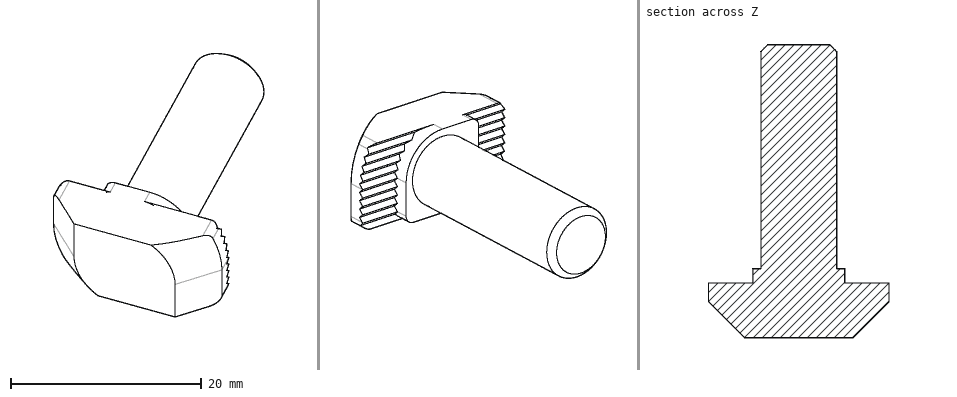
import cadquery as cq

total_length = 30.8
head_length = 19.0
head_width = 9.7
head_thickness = 5.8
face_length = 11.4
corner_radius = 1.05
collar_top = 7.27
collar_corner_radius = 1.0
shaft_diameter = 8
shaft_chamfer = 0.75
tooth_count = 10
tooth_depth = 0.52

half_length = head_length / 2
half_width = head_width / 2
half_face = face_length / 2
bevel_height = half_length - half_face
tooth_pitch = head_width / tooth_count
tooth_root = head_thickness - tooth_depth


def block(length, height):
    """Full-width block centred on the Y axis and rising from Y = 0."""
    return cq.Workplane("XY").box(length, height, head_width, centered=(True, False, True))


def disc(radius, start, end):
    """Cylinder about the Y axis between two Y levels."""
    return cq.Workplane("XZ", origin=(0, start, 0)).circle(radius).extrude(start - end)


def join_quadrants(square, swept):
    """Keep the square body where X and Z differ in sign and the swept body elsewhere."""
    quadrant = cq.Workplane("XY").box(
        half_length, collar_top, half_width, centered=(False, False, False)
    )
    half_turn = ((0, 0, 0), (0, 1, 0), 180)
    swept_zone = quadrant.union(quadrant.rotate(*half_turn))
    return square.cut(swept_zone).union(swept.intersect(swept_zone))


def make_head():
    """Flat bevels on two quadrants, conical bevels on the two that swing into the slot."""
    half_outline = [
        (0, 0),
        (half_face, 0),
        (half_length, bevel_height),
        (half_length, head_thickness),
        (0, head_thickness),
    ]
    half_prism = cq.Workplane("XY").polyline(half_outline).close().extrude(half_width, both=True)
    cone = cq.Workplane("XY").polyline(half_outline).close().revolve(360, (0, 0, 0), (0, 1, 0))
    prism = half_prism.union(half_prism.mirror("YZ"))

    square = block(head_length, head_thickness).edges("|Y").fillet(corner_radius)
    swept = block(head_length, head_thickness).intersect(disc(half_length, 0, head_thickness))
    swept = swept.edges("|Y").fillet(corner_radius)
    return join_quadrants(square.intersect(prism), swept.intersect(cone))


def cut_teeth(head):
    """V grooves along X across the clamping side of the head."""
    groove = (
        cq.Workplane("YZ")
        .moveTo(head_thickness, -tooth_pitch / 2)
        .lineTo(tooth_root, 0)
        .lineTo(head_thickness, tooth_pitch / 2)
        .close()
        .extrude(half_length, both=True)
    )
    for index in range(tooth_count):
        groove_z = (index + 0.5) * tooth_pitch - half_width
        head = head.cut(groove.translate((0, 0, groove_z)))
    return head


def make_collar():
    """Neck with two square quadrants and two round ones, rooted inside the head."""
    square = block(head_width, collar_top).edges("|Y").fillet(collar_corner_radius)
    collar = join_quadrants(square, disc(half_width, 0, collar_top))
    above_root = block(head_width, collar_top).translate((0, bevel_height, 0))
    return collar.intersect(above_root)


def make_shaft():
    """Plain shank with a chamfered tip."""
    shaft = disc(shaft_diameter / 2, bevel_height, total_length)
    return shaft.faces(">Y").chamfer(shaft_chamfer)


result = cut_teeth(make_head()).union(make_collar()).union(make_shaft())